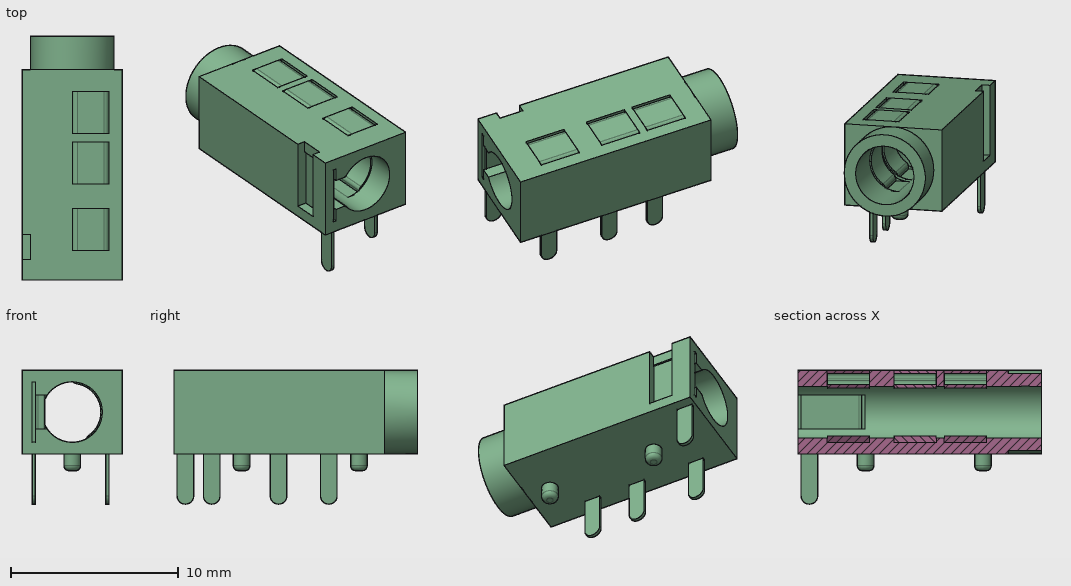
import cadquery as cq
import math


HOUSING_WIDTH = 6.0
HOUSING_HEIGHT = 5.0
TOTAL_LENGTH = 14.55
BARREL_LENGTH = 2.0
BARREL_DIAMETER = HOUSING_HEIGHT
BORE_DIAMETER = 3.6

HOUSING_LENGTH = TOTAL_LENGTH - BARREL_LENGTH
TOP = HOUSING_HEIGHT / 2
BOTTOM = -HOUSING_HEIGHT / 2
LEFT = -HOUSING_WIDTH / 2
BORE_RADIUS = BORE_DIAMETER / 2

POST_DIAMETER = 1.0
POST_LENGTH = 1.0
POST_ROUNDING = 0.3
POST_POSITIONS = [4.05, 11.05]

THICKNESS = 0.2
PIN_WIDTH = 1.0
PIN_LENGTH = 3.0

CONTACT_STARTS = [1.76, 5.75, 8.75]
CONTACT_LENGTH = 2.5
CONTACT_WIDTH = 2.2
BEND_OUTER = 0.3
BEND_INNER = BEND_OUTER - THICKNESS
HOOP_INNER = 1.7
HOOP_OUTER = HOOP_INNER + THICKNESS
HOOP_END_ANGLE = -55.0
POCKET_FLOOR = -BORE_RADIUS

PLATE_LEFT = -2.4
PLATE_RIGHT = PLATE_LEFT + THICKNESS
PLATE_FRONT = 0.19
SLOT_DEPTH = 4.0
TAB_HEIGHT = 2.01
TAB_RIGHT = -1.63
TAB_FILLET = 0.15
TAB_TIP_ROUNDING = 0.06

RECESS_START = 1.24
RECESS_LENGTH = 1.5
RECESS_DEPTH = 0.5


def block(x_range, y_range, z_range):
    """Box between two limits along each axis."""
    size = [high - low for low, high in (x_range, y_range, z_range)]
    corner = (x_range[0], y_range[0], z_range[0])
    return cq.Workplane("XY").box(*size, centered=False).translate(corner)


def cylinder_along_y(diameter, start, end):
    """Cylinder on the bore axis."""
    return cq.Workplane("XZ", origin=(0, start, 0)).circle(diameter / 2).extrude(start - end)


def polar(center, radius, angle):
    """Point at a radius and an angle in degrees from a center."""
    turn = math.radians(angle)
    return center[0] + radius * math.cos(turn), center[1] + radius * math.sin(turn)


def bend(outline, center, radius, first, last):
    """Line to the start of an arc, then the arc between two angles."""
    middle = (first + last) / 2
    outline = outline.lineTo(*polar(center, radius, first))
    return outline.threePointArc(polar(center, radius, middle), polar(center, radius, last))


def make_pin(left, front, top):
    """Flat solder pin with a round tip, reaching from a height down below the housing."""
    tip = BOTTOM - PIN_LENGTH
    radius = PIN_WIDTH / 2
    return (
        cq.Workplane("YZ", origin=(left, 0, 0))
        .moveTo(front, top)
        .lineTo(front, tip + radius)
        .threePointArc((front + radius, tip), (front + PIN_WIDTH, tip + radius))
        .lineTo(front + PIN_WIDTH, top)
        .close()
        .extrude(THICKNESS)
    )


def make_contact(front):
    """Spring contact: right leg, top, left leg and a hoop round the right side of the bore."""
    axis = (0, 0)
    shoulder = TOP - BEND_OUTER
    right_bend = (CONTACT_WIDTH - BEND_OUTER, shoulder)
    left_bend = (BEND_OUTER, shoulder)
    bend_orbit = HOOP_INNER + BEND_OUTER
    hoop_start_angle = math.degrees(math.acos(BEND_OUTER / bend_orbit))
    hoop_middle_angle = (hoop_start_angle + HOOP_END_ANGLE) / 2
    entry_bend = polar(axis, bend_orbit, hoop_start_angle)
    end_bend = polar(axis, bend_orbit, HOOP_END_ANGLE)
    entry_angle = hoop_start_angle + 180
    end_angle = HOOP_END_ANGLE + 180

    outline = cq.Workplane("XZ", origin=(0, front, 0)).moveTo(CONTACT_WIDTH, POCKET_FLOOR)
    outline = bend(outline, right_bend, BEND_OUTER, 0, 90)
    outline = bend(outline, left_bend, BEND_OUTER, 90, 180)
    outline = bend(outline, entry_bend, BEND_OUTER, 180, entry_angle)
    outline = outline.threePointArc(
        polar(axis, HOOP_INNER, hoop_middle_angle), polar(axis, HOOP_INNER, HOOP_END_ANGLE)
    )
    outline = outline.threePointArc(
        polar(end_bend, BEND_OUTER, (end_angle + 180) / 2), polar(end_bend, BEND_OUTER, 180)
    )
    outline = outline.lineTo(end_bend[0] - BEND_OUTER, POCKET_FLOOR)

    outline = outline.lineTo(end_bend[0] - BEND_INNER, POCKET_FLOOR)
    outline = bend(outline, end_bend, BEND_INNER, 180, end_angle)
    outline = outline.threePointArc(
        polar(axis, HOOP_OUTER, hoop_middle_angle), polar(axis, HOOP_OUTER, hoop_start_angle)
    )
    outline = outline.threePointArc(
        polar(entry_bend, BEND_INNER, (entry_angle + 180) / 2), polar(entry_bend, BEND_INNER, 180)
    )
    outline = bend(outline, left_bend, BEND_INNER, 180, 90)
    outline = bend(outline, right_bend, BEND_INNER, 90, 0)
    strip = outline.lineTo(CONTACT_WIDTH - THICKNESS, POCKET_FLOOR).close().extrude(-CONTACT_LENGTH)
    return strip.union(make_pin(CONTACT_WIDTH - THICKNESS, front, POCKET_FLOOR))


def make_terminal():
    """Sleeve terminal: plate with a pin at the front and a tab bent toward the bore at the rear."""
    plate = block(
        (PLATE_LEFT, PLATE_RIGHT), (PLATE_FRONT, SLOT_DEPTH), (-BORE_RADIUS, BORE_RADIUS)
    )
    tab_front = SLOT_DEPTH - THICKNESS
    tab = (
        cq.Workplane("XY", origin=(0, 0, -TAB_HEIGHT / 2))
        .moveTo(PLATE_RIGHT, SLOT_DEPTH)
        .lineTo(TAB_RIGHT, SLOT_DEPTH)
        .lineTo(TAB_RIGHT, tab_front + TAB_TIP_ROUNDING)
        .radiusArc((TAB_RIGHT - TAB_TIP_ROUNDING, tab_front), TAB_TIP_ROUNDING)
        .lineTo(PLATE_RIGHT + TAB_FILLET, tab_front)
        .radiusArc((PLATE_RIGHT, tab_front - TAB_FILLET), -TAB_FILLET)
        .close()
        .extrude(TAB_HEIGHT)
    )
    return plate.union(tab).union(make_pin(PLATE_LEFT, PLATE_FRONT, -BORE_RADIUS))


def make_posts():
    """Round locating posts under the housing, rounded at the lower end."""
    return (
        cq.Workplane("XY", origin=(0, 0, BOTTOM))
        .pushPoints([(0, y) for y in POST_POSITIONS])
        .circle(POST_DIAMETER / 2)
        .extrude(-POST_LENGTH)
        .faces("<Z")
        .edges()
        .fillet(POST_ROUNDING)
    )


def make_housing():
    """Housing with barrel, bore, contact pockets, terminal slot and side recess."""
    body = block((LEFT, -LEFT), (0, HOUSING_LENGTH), (BOTTOM, TOP))
    body = body.union(cylinder_along_y(BARREL_DIAMETER, HOUSING_LENGTH, TOTAL_LENGTH))
    body = body.cut(cylinder_along_y(BORE_DIAMETER, 0, TOTAL_LENGTH))

    for front in CONTACT_STARTS:
        pocket = block((0, CONTACT_WIDTH), (front, front + CONTACT_LENGTH), (POCKET_FLOOR, TOP))
        body = body.cut(pocket)
        body = body.cut(make_pin(CONTACT_WIDTH - THICKNESS, front, POCKET_FLOOR))

    slot = block((PLATE_LEFT, PLATE_RIGHT), (0, SLOT_DEPTH), (-BORE_RADIUS, BORE_RADIUS))
    channel = block((PLATE_RIGHT, 0), (0, SLOT_DEPTH), (-TAB_HEIGHT / 2, TAB_HEIGHT / 2))
    body = body.cut(slot).cut(channel).cut(make_pin(PLATE_LEFT, PLATE_FRONT, -BORE_RADIUS))

    recess_y = (RECESS_START, RECESS_START + RECESS_LENGTH)
    recess = block((LEFT, LEFT + RECESS_DEPTH), recess_y, (-BORE_RADIUS, TOP))
    opening = block((LEFT, PLATE_LEFT), recess_y, (-BORE_RADIUS, BORE_RADIUS))
    return body.cut(recess).cut(opening).union(make_posts())


housing = make_housing()
terminal = make_terminal()
contacts = [make_contact(front) for front in CONTACT_STARTS]

result = cq.Compound.makeCompound(
    [body.solids().val() for body in (housing, terminal, *contacts)]
)